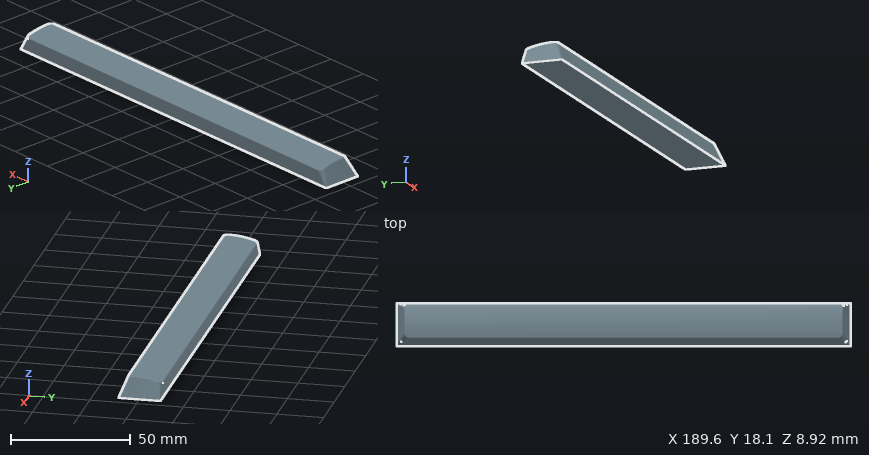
import cadquery as cq
import math

LENGTH = 189.55
WIDTH = 18.1
BASE_CORNER_RADIUS = 0.4

CREST_HEIGHT = 8.92
CREST_Y = -3.5
CROWN_RADIUS = 36.0

FRONT_INSET = 3.4
END_INSET = 3.1
BACK_TOP_HEIGHT = 6.7
TOP_CORNER_RADIUS = 2.2
TOP_EDGE_FILLET = 0.4

OVERRUN = 1.3

FRONT_Y = -WIDTH / 2
BACK_Y = WIDTH / 2


def drafted_body():
    """Loft from the flat base to a rounded rectangle that slopes down to the back."""
    front_y = FRONT_Y + FRONT_INSET * OVERRUN
    front_z = CREST_HEIGHT * OVERRUN
    back_z = BACK_TOP_HEIGHT * OVERRUN
    run = BACK_Y - front_y
    drop = front_z - back_z

    base = cq.Sketch().rect(LENGTH, WIDTH).vertices().fillet(BASE_CORNER_RADIUS)
    top_length = LENGTH - 2 * END_INSET * OVERRUN
    top_radius = BASE_CORNER_RADIUS + (TOP_CORNER_RADIUS - BASE_CORNER_RADIUS) * OVERRUN
    top = cq.Sketch().rect(top_length, math.hypot(run, drop)).vertices().fillet(top_radius)
    top_plane = cq.Plane(
        origin=(0, (front_y + BACK_Y) / 2, (front_z + back_z) / 2),
        xDir=(1, 0, 0),
        normal=(0, drop, run),
    )
    top_location = cq.Location(top_plane)
    return cq.Workplane("XY").placeSketch(base, top.moved(top_location)).loft(ruled=True)


def crown_cylinder():
    """Full-length cylinder whose upper surface is the crowned top."""
    return (
        cq.Workplane("YZ")
        .center(CREST_Y, CREST_HEIGHT - CROWN_RADIUS)
        .circle(CROWN_RADIUS)
        .extrude(LENGTH / 2, both=True)
    )


crowned_body = drafted_body().intersect(crown_cylinder())
result = crowned_body.faces(">Z").edges().fillet(TOP_EDGE_FILLET)